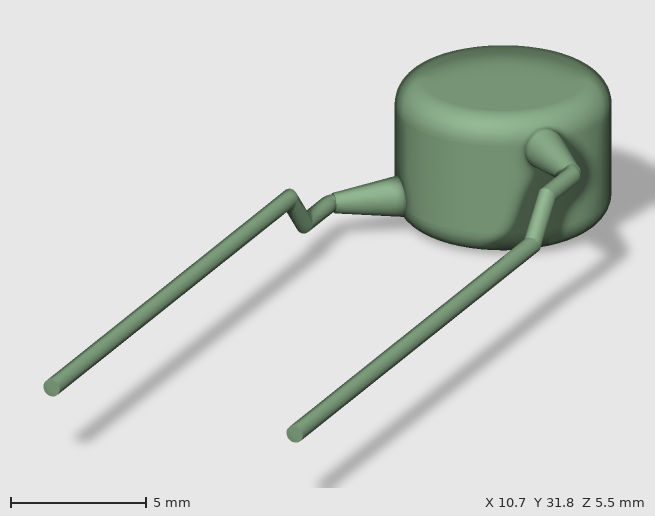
import cadquery as cq
import math

BODY_RADIUS = 4.0
BODY_HEIGHT = 5.5
BODY_FILLET = 1.0

TOTAL_LENGTH = 31.8
LEAD_SPACING = 10.0
WIRE_DIAMETER = 0.67
EXIT_HEIGHT = 1.5
ELBOW_RADIUS = 0.35
CRANK_START_Y = -6.52
CRANK_END_Y = -7.8
LEAD_END_Y = BODY_RADIUS - TOTAL_LENGTH

COLLAR_ANGLE = 41.3
COLLAR_BASE_DIAMETER = 1.53
COLLAR_TIP_DIAMETER = 0.75

ELBOW_TURN = math.radians(90 - COLLAR_ANGLE)
TANGENT_LENGTH = ELBOW_RADIUS * math.tan(ELBOW_TURN / 2)
LEAD_X = LEAD_SPACING / 2
COLLAR_DIRECTION = cq.Vector(
    math.cos(math.radians(COLLAR_ANGLE)), -math.sin(math.radians(COLLAR_ANGLE)), 0
)
COLLAR_TIP_RADIUS = LEAD_X / COLLAR_DIRECTION.x - TANGENT_LENGTH
ELBOW_CENTER = cq.Vector(
    LEAD_X - ELBOW_RADIUS, -LEAD_X * math.tan(math.radians(COLLAR_ANGLE)) - TANGENT_LENGTH, 0
)


def make_body():
    return (
        cq.Workplane("XY")
        .cylinder(BODY_HEIGHT, BODY_RADIUS)
        .faces("<Z or >Z")
        .edges()
        .fillet(BODY_FILLET)
    )


def make_collar(body):
    """Cone on the upper +X side, cut back to the body surface."""
    slope = (COLLAR_BASE_DIAMETER - COLLAR_TIP_DIAMETER) / 2 / (COLLAR_TIP_RADIUS - BODY_RADIUS)
    inner_radius = BODY_RADIUS - BODY_FILLET
    length = COLLAR_TIP_RADIUS - inner_radius
    tip_radius = COLLAR_TIP_DIAMETER / 2
    inner_end = COLLAR_DIRECTION * inner_radius + cq.Vector(0, 0, EXIT_HEIGHT)
    cone = cq.Solid.makeCone(tip_radius + slope * length, tip_radius, length, inner_end, COLLAR_DIRECTION)
    return cq.Workplane(cone).cut(body)


def make_elbow():
    """Bend that carries the upper +X lead from the collar tip round to the -Y direction."""
    start = COLLAR_DIRECTION * COLLAR_TIP_RADIUS
    half_turn = ELBOW_TURN / 2
    middle = ELBOW_CENTER + cq.Vector(math.cos(half_turn), math.sin(half_turn), 0) * ELBOW_RADIUS
    centreline = (
        cq.Workplane("XY", origin=(0, 0, EXIT_HEIGHT))
        .moveTo(start.x, start.y)
        .threePointArc((middle.x, middle.y), (LEAD_X, ELBOW_CENTER.y))
    )
    section = cq.Plane(start + cq.Vector(0, 0, EXIT_HEIGHT), (0, 0, 1), COLLAR_DIRECTION)
    return cq.Workplane(section).circle(WIRE_DIAMETER / 2).sweep(centreline)


def make_cranked_run():
    """Straight stretch after the elbow, crank to mid-height and long tail, with mitred corners."""
    centreline = cq.Workplane("YZ", origin=(LEAD_X, 0, 0)).polyline(
        [
            (ELBOW_CENTER.y, EXIT_HEIGHT),
            (CRANK_START_Y, EXIT_HEIGHT),
            (CRANK_END_Y, 0),
            (LEAD_END_Y, 0),
        ]
    )
    return (
        cq.Workplane("XZ", origin=(LEAD_X, ELBOW_CENTER.y, EXIT_HEIGHT))
        .circle(WIRE_DIAMETER / 2)
        .sweep(centreline, transition="right")
    )


def make_lead():
    """Complete lead on the upper +X side, starting at the collar tip."""
    return make_elbow().union(make_cranked_run())


body = make_body()
upper_collar = make_collar(body)
upper_lead = make_lead()

collars = []
leads = []
for turn in (0, 180):
    collars.append(upper_collar.rotate((0, 0, 0), (0, 1, 0), turn).val())
    leads.append(upper_lead.rotate((0, 0, 0), (0, 1, 0), turn).val())

result = cq.Compound.makeCompound([body.val(), *collars, *leads])